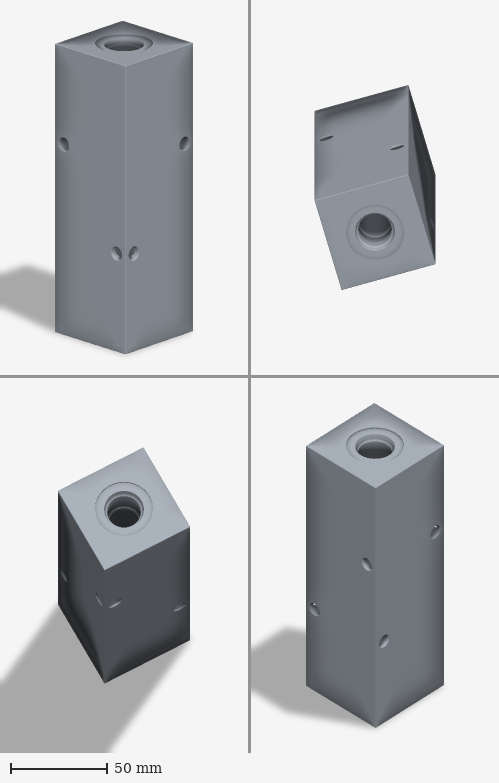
import cadquery as cq
import math

width = 50.8
height = 158.8
edge_chamfer = 0.25

bore_diameter = 15.9
spotface_diameter = 30.0
spotface_depth = 0.8
seal_diameter = 20.6
seal_depth = 2.7
seal_angle = 15.0
thread_diameter = 17.5
thread_depth = 17.5

cross_diameter = 7.0
cross_chamfer = 0.43
cross_offset = 19.0
cross_rise = 25.4


def port_cutter():
    """Return the upper half of the bore with its stepped port, revolved about Z."""
    top = height / 2
    floor = top - spotface_depth
    seal_end = floor - seal_depth
    bore_radius = bore_diameter / 2
    thread_radius = thread_diameter / 2
    seal_radius = seal_diameter / 2
    seal_end_radius = seal_radius - seal_depth * math.tan(math.radians(seal_angle))
    thread_start = seal_end - (seal_end_radius - thread_radius)
    thread_end = floor - thread_depth
    bore_start = thread_end - (thread_radius - bore_radius)
    outline = [
        (0, 0),
        (bore_radius, 0),
        (bore_radius, bore_start),
        (thread_radius, thread_end),
        (thread_radius, thread_start),
        (seal_end_radius, seal_end),
        (seal_radius, floor),
        (spotface_diameter / 2, floor),
        (spotface_diameter / 2, top),
        (0, top),
    ]
    return cq.Workplane("XZ").polyline(outline).close().revolve(360, (0, 0), (0, 1))


def cross_hole_cutter():
    """Return a hole along Y through the block, with 45 degree chamfers at both mouths."""
    face = width / 2
    radius = cross_diameter / 2
    mouth_radius = radius + cross_chamfer
    outline = [
        (0, -face),
        (mouth_radius, -face),
        (radius, -face + cross_chamfer),
        (radius, face - cross_chamfer),
        (mouth_radius, face),
        (0, face),
    ]
    return cq.Workplane("XY").polyline(outline).close().revolve(360, (0, 0), (0, 1))


result = cq.Workplane("XY").box(width, width, height).edges().chamfer(edge_chamfer)

upper_port = port_cutter()
result = result.cut(upper_port).cut(upper_port.mirror("XY"))

cross_hole = cross_hole_cutter()
for side in (1, -1):
    level = side * cross_rise
    along_y = cross_hole.translate((-side * cross_offset, 0, level))
    along_x = cross_hole.rotate((0, 0, 0), (0, 0, 1), 90).translate((0, side * cross_offset, level))
    result = result.cut(along_y).cut(along_x)